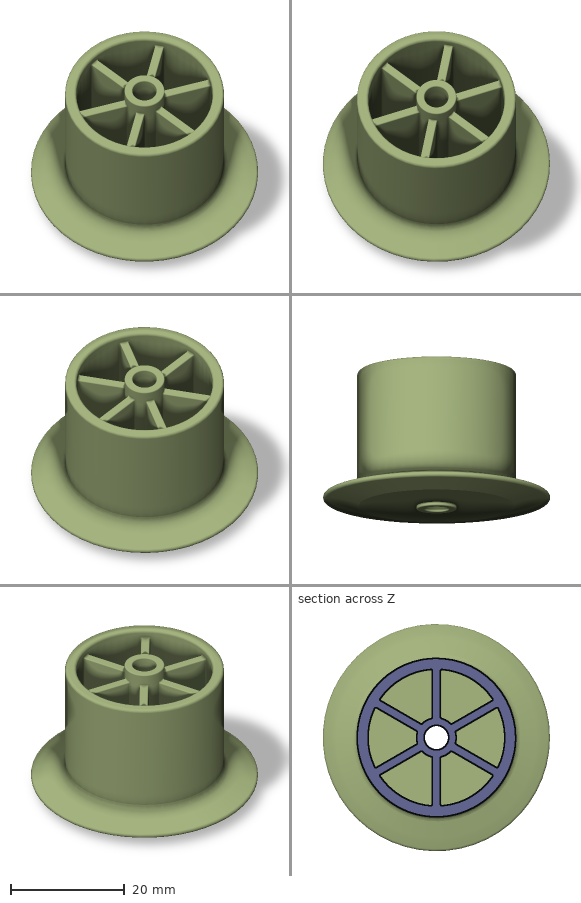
import cadquery as cq
import math

flange_radius = 19.95
flange_underside_radius = 13.7
upper_cone_angle = 15.0
lower_cone_angle = 10.0
flange_edge_radius = 0.48

drum_radius = 13.95
drum_height = 23.95
wall_thickness = 2.0
cavity_radius = drum_radius - wall_thickness
floor_thickness = wall_thickness
rim_fillet = 0.5
drum_foot_fillet = 1.0

hub_radius = 3.5
bore_radius = 2.1
hub_overhang = 0.65
hub_length = drum_height + 2 * hub_overhang

rib_count = 6
rib_thickness = 1.5
rib_drop = 1.6
rib_top = drum_height - rib_drop

small_fillet = 0.2

selection_margin = 0.005


def slab_selector(radius, bottom, top):
    """Select edges lying wholly within a radius and between two heights."""
    reach = radius + selection_margin
    return cq.selectors.BoxSelector(
        (-reach, -reach, bottom - selection_margin),
        (reach, reach, top + selection_margin),
        boundingbox=True,
    )


def make_drum_with_flange():
    """Revolve the cup-shaped drum and its flange, then round the rim and the foot."""
    upper_slope = math.tan(math.radians(upper_cone_angle))
    lower_slope = math.tan(math.radians(lower_cone_angle))

    arc_center_r = flange_radius - flange_edge_radius
    lower_cone_rise = (arc_center_r - flange_underside_radius) * lower_slope
    arc_center_z = lower_cone_rise + flange_edge_radius / math.cos(math.radians(lower_cone_angle))

    def edge_point(angle):
        return (
            arc_center_r + flange_edge_radius * math.cos(math.radians(angle)),
            arc_center_z + flange_edge_radius * math.sin(math.radians(angle)),
        )

    arc_start = edge_point(lower_cone_angle - 90)
    arc_end = edge_point(90 - upper_cone_angle)
    foot_z = arc_end[1] + (arc_end[0] - drum_radius) * upper_slope

    body = (
        cq.Workplane("XZ")
        .lineTo(flange_underside_radius, 0)
        .lineTo(*arc_start)
        .threePointArc(edge_point(0), arc_end)
        .lineTo(drum_radius, foot_z)
        .lineTo(drum_radius, drum_height)
        .lineTo(cavity_radius, drum_height)
        .lineTo(cavity_radius, floor_thickness)
        .lineTo(0, floor_thickness)
        .close()
        .revolve(360, (0, 0, 0), (0, 1, 0))
    )
    body = body.edges(slab_selector(drum_radius, foot_z, foot_z)).fillet(drum_foot_fillet)
    return body.faces(">Z").edges().fillet(rim_fillet)


def make_hub():
    """Make the hub as a solid cylinder; the bore is cut later."""
    return cq.Workplane("XY").workplane(offset=-hub_overhang).circle(hub_radius).extrude(hub_length)


def make_ribs():
    """Make the evenly spaced ribs, the first along +Y, sunk into hub, wall and floor."""
    inner_end = hub_radius / 2
    outer_end = cavity_radius + wall_thickness / 2
    bottom = floor_thickness / 2
    rib = (
        cq.Workplane("XY")
        .box(rib_thickness, outer_end - inner_end, rib_top - bottom, centered=(True, False, False))
        .translate((0, inner_end, bottom))
    )
    ribs = rib
    for index in range(1, rib_count):
        ribs = ribs.union(rib.rotate((0, 0, 0), (0, 0, 1), index * 360 / rib_count))
    return ribs


def round_cavity(body):
    """Round the rib tops and all corners between ribs, hub, wall and floor."""
    return body.edges(slab_selector(cavity_radius, floor_thickness, rib_top)).fillet(small_fillet)


def cut_bore(body):
    """Cut the bore through the hub and round both ends of the hub inside and out."""
    bore = cq.Workplane("XY").workplane(offset=-hub_overhang).circle(bore_radius).extrude(hub_length)
    return body.cut(bore).faces("<Z or >Z").edges().fillet(small_fillet)


wheel = make_drum_with_flange().union(make_hub()).union(make_ribs())
result = cut_bore(round_cavity(wheel))